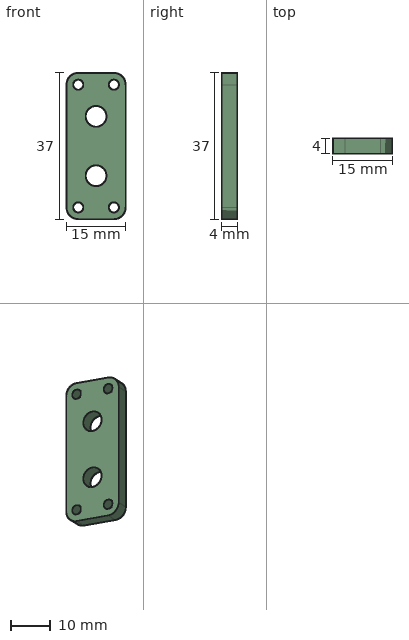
import cadquery as cq

plate_width = 15.0
plate_thickness = 4.0
plate_height = 37.0
corner_radius = 3.0

screw_hole_diameter = 2.5
screw_spacing_x = plate_width - 2 * corner_radius
screw_spacing_z = plate_height - 2 * corner_radius

large_hole_diameter = 5.2
large_hole_spacing = 15.0


def make_plate():
    """Rectangular plate with its four corners rounded, centred on the origin."""
    plate = cq.Workplane("XY").box(plate_width, plate_thickness, plate_height)
    return plate.edges("|Y").fillet(corner_radius)


def drill_screw_holes(plate):
    """Cut one through hole at each corner."""
    front = plate.faces("<Y").workplane(centerOption="CenterOfBoundBox")
    centres = front.rect(screw_spacing_x, screw_spacing_z, forConstruction=True).vertices()
    return centres.hole(screw_hole_diameter)


def drill_large_holes(plate):
    """Cut the two large through holes, evenly spaced about the plate centre."""
    front = plate.faces("<Y").workplane(centerOption="CenterOfBoundBox")
    centres = [(0, -large_hole_spacing / 2), (0, large_hole_spacing / 2)]
    return front.pushPoints(centres).hole(large_hole_diameter)


plate_with_screw_holes = drill_screw_holes(make_plate())
result = drill_large_holes(plate_with_screw_holes)